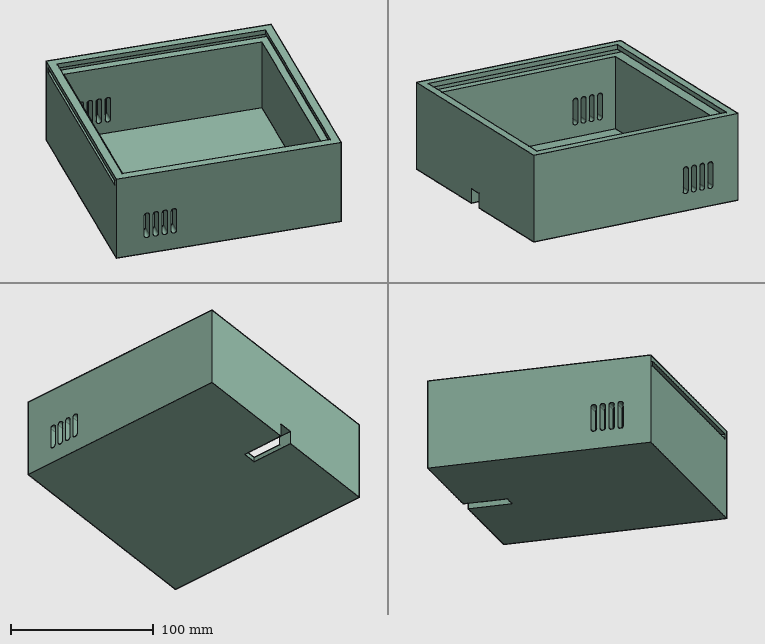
import cadquery as cq

SIDE = 165.0
HEIGHT = 65.0
WALL = 9.9
FLOOR = 4.0

LIP_WIDTH = 6.1
LIP_THICKNESS = 3.5
CHANNEL_INSET = 4.0
CHANNEL_HEIGHT = 3.5

VENT_COUNT = 4
VENT_PITCH = 6.6
VENT_WIDTH = 4.0
VENT_LENGTH = 20.0
VENT_BOTTOM = 13.0
FIRST_VENT_FROM_FRONT = 22.5

NOTCH_WIDTH = 10.5
NOTCH_REACH = 22.6
NOTCH_RISE = 7.0


def block(x_size, y_min, y_max, z_min, z_max):
    """Box centred in X between the given Y and Z limits."""
    return (
        cq.Workplane("XY")
        .box(x_size, y_max - y_min, z_max - z_min, centered=(True, False, False))
        .translate((0, y_min, z_min))
    )


def cavity():
    inner = SIDE - 2 * WALL
    return block(inner, -inner / 2, inner / 2, FLOOR, HEIGHT)


def lid_opening():
    opening = SIDE - 2 * LIP_WIDTH
    channel_top = HEIGHT - LIP_THICKNESS
    return block(opening, -opening / 2, opening / 2, channel_top, HEIGHT)


def lid_channel():
    channel_top = HEIGHT - LIP_THICKNESS
    return block(
        SIDE - 2 * CHANNEL_INSET,
        -SIDE / 2,
        SIDE / 2 - CHANNEL_INSET,
        channel_top - CHANNEL_HEIGHT,
        channel_top,
    )


def vents():
    first_y = -SIDE / 2 + FIRST_VENT_FROM_FRONT
    centre_z = VENT_BOTTOM + VENT_LENGTH / 2
    centres = [(first_y + i * VENT_PITCH, centre_z) for i in range(VENT_COUNT)]
    return (
        cq.Workplane("YZ")
        .pushPoints(centres)
        .slot2D(VENT_LENGTH, VENT_WIDTH, 90)
        .extrude(SIDE / 2, both=True)
    )


def cable_notch():
    front_y = SIDE / 2 - WALL - NOTCH_REACH
    return block(NOTCH_WIDTH, front_y, SIDE / 2, 0, FLOOR + NOTCH_RISE)


result = (
    block(SIDE, -SIDE / 2, SIDE / 2, 0, HEIGHT)
    .cut(cavity())
    .cut(lid_opening())
    .cut(lid_channel())
    .cut(vents())
    .cut(cable_notch())
)